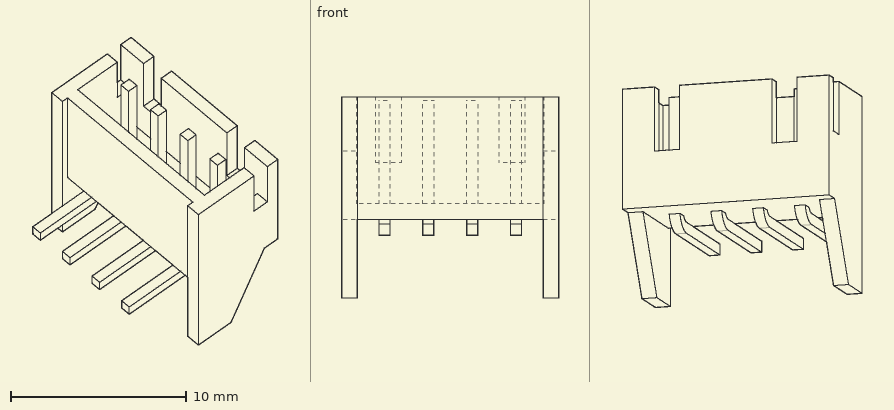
import cadquery as cq

width = 12.4
depth = 6.14
overall_depth = 9.55
body_height = 7.0
front_recess = 0.4
wall = 0.84
back_wall = 0.8
cavity_depth = 6.08

leg_thickness = 0.9
leg_bottom = -11.5
leg_foot = 2.53
leg_back_step = 1.03

side_slot_depth = 3.1
back_slot_depth = 3.75
side_slot_width = 1.03
back_slot_width = 1.49
back_slot_offset = 3.52

pin_count = 4
pin_pitch = 2.5
pin_size = 0.65
pin_front = 3.41
pin_top = -0.2
pin_bottom = -7.91
pin_reach = overall_depth - depth
bend_inner_radius = 0.62


def box(x_range, y_range, z_range):
    """Axis-aligned box spanning the three (low, high) ranges."""
    low, high = zip(x_range, y_range, z_range)
    size = [b - a for a, b in zip(low, high)]
    return cq.Workplane("XY").box(*size, centered=False).translate(low)


def make_leg(x_start):
    """Side plate with a sloped rear edge below the body."""
    profile = [
        (0, 0),
        (depth, 0),
        (depth, -body_height),
        (depth - leg_back_step, -body_height),
        (leg_foot, leg_bottom),
        (0, leg_bottom),
    ]
    plate = cq.Workplane("YZ").polyline(profile).close().extrude(leg_thickness)
    return plate.translate((x_start, 0, 0))


def make_pin(x_center):
    """Square pin: upright in the cavity, then bent forward below the body."""
    x_range = (x_center - pin_size / 2, x_center + pin_size / 2)
    pin_back = pin_front + pin_size
    tail_top = pin_bottom + pin_size
    upright = box(x_range, (pin_front, pin_back), (pin_bottom, pin_top))
    tail = box(x_range, (-pin_reach, pin_back), (pin_bottom, tail_top))
    pin = upright.union(tail)
    inner_corner = cq.selectors.NearestToPointSelector((x_center, pin_front, tail_top))
    outer_corner = cq.selectors.NearestToPointSelector((x_center, pin_back, pin_bottom))
    pin = pin.edges("|X").edges(inner_corner).fillet(bend_inner_radius)
    return pin.edges("|X").edges(outer_corner).fillet(bend_inner_radius + pin_size)


half_width = width / 2
cavity_half = half_width - wall
cavity_back = depth - back_wall

housing = box((-half_width, half_width), (front_recess, depth), (-body_height, 0))
for leg_start in (-half_width, half_width - leg_thickness):
    housing = housing.union(make_leg(leg_start))

cavity_front = front_recess + wall
housing = housing.cut(
    box((-cavity_half, cavity_half), (cavity_front, cavity_back), (-cavity_depth, 0))
)

housing = housing.cut(
    box((-half_width, half_width), (cavity_back - side_slot_width, cavity_back), (-side_slot_depth, 0))
)

for slot_center in (-back_slot_offset, back_slot_offset):
    slot_x = (slot_center - back_slot_width / 2, slot_center + back_slot_width / 2)
    housing = housing.cut(box(slot_x, (cavity_back, depth), (-back_slot_depth, 0)))

result = housing
for index in range(pin_count):
    result = result.union(make_pin((index - (pin_count - 1) / 2) * pin_pitch))